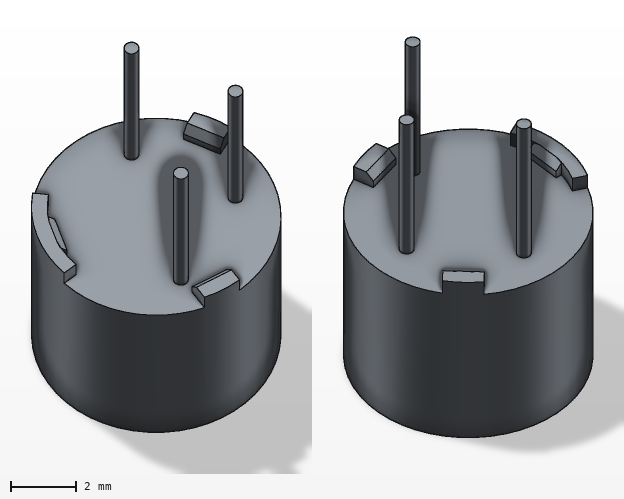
import cadquery as cq
import math

body_diameter = 7.62
body_radius = body_diameter / 2
body_height = 5.83

total_height = 11.11
pin_length = total_height - body_height
pin_diameter = 0.45
pin_circle_radius = 2.53
pin_angles = (0, 90, 180)

raised_height = 0.51
tab_width = 1.27
tab_inner_distance = 3.04
tab_chamfer = raised_height / 2
tab_angles = (15, 135.5, 270)

rim_inner_radius = 3.32
rim_span = 50.4
rim_center_angle = 270

trim_allowance = 0.55


def polar_point(radius, angle):
    """Point at the given radius and angle in degrees about the can axis."""
    radians = math.radians(angle)
    return (radius * math.cos(radians), radius * math.sin(radians))


def make_pin(angle):
    return (
        cq.Workplane("XY", origin=(0, 0, body_height))
        .center(*polar_point(pin_circle_radius, angle))
        .circle(pin_diameter / 2)
        .extrude(pin_length)
    )


def make_tab(angle):
    """Block with a chamfered inner top edge, reaching past the outer wall."""
    outer_distance = body_radius + trim_allowance
    top = body_height + raised_height
    profile = [
        (tab_inner_distance, body_height),
        (outer_distance, body_height),
        (outer_distance, top),
        (tab_inner_distance + tab_chamfer, top),
        (tab_inner_distance, top - tab_chamfer),
    ]
    block = cq.Workplane("XZ").polyline(profile).close().extrude(tab_width / 2, both=True)
    return block.rotate((0, 0, 0), (0, 0, 1), angle)


def make_rim_segment():
    """Arc-shaped wall with radial ends, reaching past the outer wall."""
    outer_radius = body_radius + trim_allowance
    start = rim_center_angle - rim_span / 2
    end = rim_center_angle + rim_span / 2
    return (
        cq.Workplane("XY", origin=(0, 0, body_height))
        .moveTo(*polar_point(rim_inner_radius, start))
        .lineTo(*polar_point(outer_radius, start))
        .threePointArc(polar_point(outer_radius, rim_center_angle), polar_point(outer_radius, end))
        .lineTo(*polar_point(rim_inner_radius, end))
        .threePointArc(
            polar_point(rim_inner_radius, rim_center_angle),
            polar_point(rim_inner_radius, start),
        )
        .close()
        .extrude(raised_height)
    )


def make_raised_features():
    """Rim segment and tabs, trimmed flush with the can's outer wall."""
    features = make_rim_segment()
    for angle in tab_angles:
        features = features.union(make_tab(angle))
    envelope = cq.Workplane("XY").circle(body_radius).extrude(total_height)
    return features.intersect(envelope)


result = cq.Workplane("XY").circle(body_radius).extrude(body_height)
result = result.union(make_raised_features())
for pin_angle in pin_angles:
    result = result.union(make_pin(pin_angle))